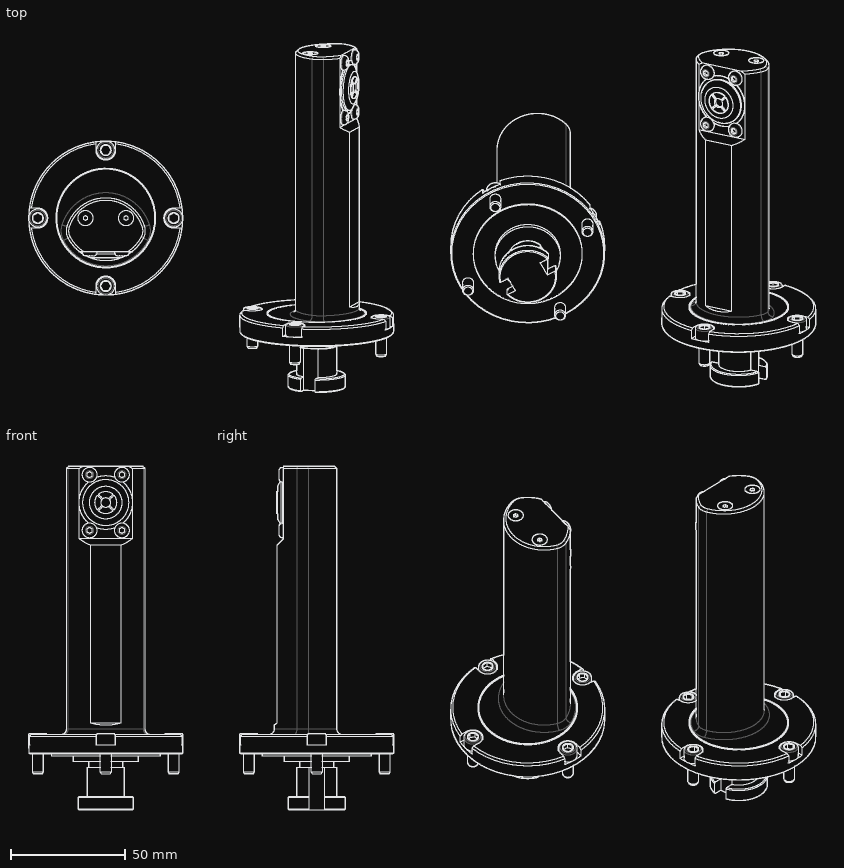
import cadquery as cq
import math


flange_diameter = 67.4
flange_thickness = 8.5
flange_top_chamfer = 0.9
flange_bottom_chamfer = 0.5
groove_outer_diameter = 43.6
groove_inner_diameter = 42.9
groove_depth = 0.5
spigot_diameter = 47.7
spigot_bottom = -9.5
collar_diameter = 28.5
collar_bottom = -11.9

neck_diameter = 15.0
neck_bottom = -14.5
stub_diameter = 17.6
knob_diameter = 25.1
knob_top = -27.0
knob_chamfer = 0.5
stub_bottom = -33.1
keyway_width = 6.6
keyway_floor_x = 8.0

screw_count = 4
screw_head_diameter = 8.0
screw_circle_radius = (flange_diameter - screw_head_diameter) / 2
screw_head_rise = 0.5
screw_head_fillet = 0.6
screw_pocket_width = 8.7
screw_pocket_depth = 4.7
screw_shank_diameter = 4.8
screw_tip_z = -17.3
screw_tip_length = 0.9
screw_tip_inset = 0.5
screw_socket_flats = 4.0
screw_socket_rim_diameter = 4.8
screw_socket_rim_depth = 0.3
screw_socket_depth = 2.7

post_height = 117.3
post_front_radius = 18.6
post_back_radius = 17.7
post_back_y = 8.9
post_side_radius = 6.6
post_top_chamfer = 1.0
post_base_fillet = 2.3

front_flat_y = -17.5
front_flat_bottom = 5.0
front_flat_runout = 0.9
pad_y = -14.6
pad_bottom = 85.5

button_z = 101.4
button_seat_diameter = 23.5
button_seat_height = 0.3
button_diameter = 20.2
button_wall_height = 1.0
button_face_diameter = 14.3
button_face_height = 2.5
button_boss_diameter = 9.6
button_boss_rise = 0.38
button_boss_height = button_face_height + button_boss_rise
button_hole_diameter = 4.2
button_hole_depth = 1.2
button_slit_width = 0.6
button_slit_depth = button_boss_rise

pad_screw_diameter = 6.5
pad_screw_height = 2.0
pad_screw_face_diameter = 3.5
pad_screw_x = 7.0
pad_screw_z_offset = 12.2
pad_screw_socket_flats = 2.3
pad_screw_socket_depth = 1.2

top_screw_diameter = 6.6
top_screw_x = 8.9
top_screw_recess = 0.2
top_screw_socket_flats = 1.8
top_screw_socket_depth = 1.2


def disc(diameter, bottom, top):
    """Cylinder on the flange axis between two heights."""
    return cq.Workplane("XY").workplane(offset=bottom).circle(diameter / 2).extrude(top - bottom)


def hexagon(plane, flats, depth):
    """Hexagonal prism, sized across flats, extruded along the plane's normal."""
    return cq.Workplane(plane).polygon(6, flats, circumscribed=True).extrude(depth)


def pad_plane(x, z, height):
    """Plane facing out of the pad (-Y) at the given height above it."""
    return cq.Plane(origin=(x, pad_y - height, z), xDir=(1, 0, 0), normal=(0, -1, 0))


def around_flange(shape):
    """Copies of a shape spaced evenly around the flange axis."""
    step = 360 / screw_count
    return [shape.rotate((0, 0, 0), (0, 0, 1), i * step) for i in range(screw_count)]


def make_post():
    """Full-length post before its front is flattened."""
    back_center_y = post_back_y - post_back_radius
    to_front = post_front_radius - post_side_radius
    to_back = post_back_radius - post_side_radius

    side_y = (to_back**2 - to_front**2 - back_center_y**2) / (-2 * back_center_y)
    side_x = math.sqrt(to_front**2 - side_y**2)
    front_x = side_x * post_front_radius / to_front
    front_y = side_y * post_front_radius / to_front
    back_x = side_x * post_back_radius / to_back
    back_y = back_center_y + (side_y - back_center_y) * post_back_radius / to_back
    side_mid_x = side_x + post_side_radius

    post = (
        cq.Workplane("XY")
        .moveTo(-front_x, front_y)
        .threePointArc((0, -post_front_radius), (front_x, front_y))
        .threePointArc((side_mid_x, side_y), (back_x, back_y))
        .threePointArc((0, post_back_y), (-back_x, back_y))
        .threePointArc((-side_mid_x, side_y), (-front_x, front_y))
        .close()
        .extrude(post_height)
    )
    return post.faces(">Z").edges().chamfer(post_top_chamfer)


def make_front_cut():
    """Material in front of the long flat and the pad, as a side profile swept along X."""
    clear_y = -post_front_radius - post_base_fillet
    runout_slope = front_flat_runout / (post_front_radius + front_flat_y)
    pad_ramp_height = pad_y - front_flat_y
    profile = [
        (pad_y, post_height),
        (pad_y, pad_bottom),
        (front_flat_y, pad_bottom - pad_ramp_height),
        (front_flat_y, front_flat_bottom),
        (clear_y, front_flat_bottom - runout_slope * (front_flat_y - clear_y)),
        (clear_y, post_height),
    ]
    return cq.Workplane("YZ").polyline(profile).close().extrude(post_front_radius, both=True)


def make_flange():
    """Round flange with chamfered rims."""
    flange = disc(flange_diameter, -flange_thickness, 0)
    flange = flange.faces(">Z").edges().chamfer(flange_top_chamfer)
    return flange.faces("<Z").edges().chamfer(flange_bottom_chamfer)


def make_stub():
    """Stepped spigot, neck and knobbed stub, with a keyway on each X side of the stub."""
    knob = disc(knob_diameter, stub_bottom, knob_top).edges().chamfer(knob_chamfer)
    stub = disc(stub_diameter, knob_top, neck_bottom).union(knob)
    keyway_length = knob_diameter
    for side in (-1, 1):
        keyway = cq.Workplane("XY").box(keyway_length, keyway_width, neck_bottom - stub_bottom)
        keyway_x = side * (keyway_floor_x + keyway_length / 2)
        stub = stub.cut(keyway.translate((keyway_x, 0, (neck_bottom + stub_bottom) / 2)))
    stub = stub.union(disc(neck_diameter, neck_bottom, -flange_thickness))
    stub = stub.union(disc(collar_diameter, collar_bottom, -flange_thickness))
    return stub.union(disc(spigot_diameter, spigot_bottom, -flange_thickness))


def make_screw_pocket():
    """Pocket with a round inner end, open at the flange rim."""
    round_end = disc(screw_pocket_width, -screw_pocket_depth, 0)
    opening = cq.Workplane("XY").box(
        screw_pocket_width, screw_pocket_width, screw_pocket_depth, centered=(False, True, False)
    )
    pocket = round_end.union(opening.translate((0, 0, -screw_pocket_depth)))
    return pocket.translate((screw_circle_radius, 0, 0))


def make_flange_screw():
    """Socket-head screw with a round lip over the hexagonal socket."""
    head = disc(screw_head_diameter, -screw_pocket_depth, screw_head_rise)
    head = head.faces(">Z").edges().fillet(screw_head_fillet)
    socket_plane = cq.Plane(origin=(0, 0, screw_head_rise - screw_socket_depth))
    head = head.cut(hexagon(socket_plane, screw_socket_flats, screw_socket_depth))
    rim_bottom = screw_head_rise - screw_socket_rim_depth
    head = head.cut(disc(screw_socket_rim_diameter, rim_bottom, screw_head_rise))
    shank = disc(screw_shank_diameter, screw_tip_z, -screw_pocket_depth)
    shank = shank.faces("<Z").edges().chamfer(screw_tip_length, screw_tip_inset)
    return head.union(shank).translate((screw_circle_radius, 0, 0))


def make_button():
    """Turned button with a slitted boss, standing on the pad."""
    plane = cq.Plane(origin=(0, pad_y, button_z), xDir=(1, 0, 0), normal=(0, 0, -1))
    profile = [
        (0, 0),
        (button_seat_diameter / 2, 0),
        (button_seat_diameter / 2, button_seat_height),
        (button_diameter / 2, button_seat_height),
        (button_diameter / 2, button_wall_height),
        (button_face_diameter / 2, button_face_height),
        (button_boss_diameter / 2, button_face_height),
        (button_boss_diameter / 2, button_boss_height),
        (button_hole_diameter / 2, button_boss_height),
        (button_hole_diameter / 2, button_boss_height - button_hole_depth),
        (0, button_boss_height - button_hole_depth),
    ]
    button = cq.Workplane(plane).polyline(profile).close().revolve(360, (0, 0), (0, 1))
    slit_plane = pad_plane(0, button_z, button_boss_height - button_slit_depth)
    for angle in (45, 135):
        slit = (
            cq.Workplane(slit_plane)
            .transformed(rotate=(0, 0, angle))
            .rect(button_boss_diameter, button_slit_width)
            .extrude(button_slit_depth)
        )
        button = button.cut(slit)
    return button


def make_pad_screw(x, z):
    """Domed screw head, cut by a hexagonal socket."""
    dome_radius = (pad_screw_diameter - pad_screw_face_diameter) / 2
    head = cq.Workplane(pad_plane(x, z, 0)).circle(pad_screw_diameter / 2).extrude(pad_screw_height)
    head = head.faces("<Y").edges().fillet(dome_radius)
    socket_plane = pad_plane(x, z, pad_screw_height - pad_screw_socket_depth)
    return head.cut(hexagon(socket_plane, pad_screw_socket_flats, pad_screw_socket_depth))


def make_top_screw_cut(x):
    """Shallow round recess over the screw head, with its hexagonal socket."""
    recess_z = post_height - top_screw_recess
    recess = disc(top_screw_diameter, recess_z, post_height).translate((x, 0, 0))
    socket_plane = cq.Plane(origin=(x, 0, recess_z - top_screw_socket_depth))
    return recess.union(hexagon(socket_plane, top_screw_socket_flats, top_screw_socket_depth))


result = make_flange().union(make_post())
foot_edges = cq.selectors.BoxSelector(
    (-post_front_radius, -post_front_radius, -post_base_fillet / 2),
    (post_front_radius, post_front_radius, post_base_fillet / 2),
    boundingbox=True,
)
result = result.edges(foot_edges).fillet(post_base_fillet)
result = result.cut(make_front_cut())

groove = disc(groove_outer_diameter, -groove_depth, 0).cut(disc(groove_inner_diameter, -groove_depth, 0))
result = result.cut(groove)

result = result.union(make_stub())
for pocket in around_flange(make_screw_pocket()):
    result = result.cut(pocket)
for screw in around_flange(make_flange_screw()):
    result = result.union(screw)

result = result.union(make_button())
for screw_x in (-pad_screw_x, pad_screw_x):
    for screw_z in (button_z - pad_screw_z_offset, button_z + pad_screw_z_offset):
        result = result.union(make_pad_screw(screw_x, screw_z))

for screw_x in (-top_screw_x, top_screw_x):
    result = result.cut(make_top_screw_cut(screw_x))